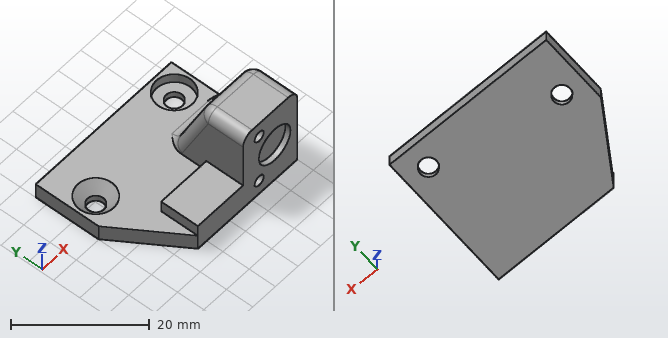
import cadquery as cq
import math

LENGTH = 30.0
WIDTH = 24.0
PLATE_T = 3.0
CORNER_X = 8.0
CORNER_Y = 12.0

STEP_DEPTH = 7.0
STEP_TOP = 5.2

BLOCK_LEFT = 18.0
HEIGHT = 16.0
ROUND_R = 2.0
SLOPE_ANGLE = math.radians(25.0)
FOOT_END_Y = 15.3

NOTCH_END_R = 4.5
NOTCH_SAG = NOTCH_END_R - math.sqrt(NOTCH_END_R**2 - ROUND_R**2)

SCREW_D = 3.1
HEAD_D = 6.78
SINK_X, SINK_Y = 4.0, 16.0
BORE_X, BORE_Y = 26.0, 20.0
BORE_DEPTH = 1.8
SINK_DEPTH = 1.8

RECESS_D = 7.0
RECESS_DEPTH = 1.0
RECESS_X, RECESS_Z = 25.0, 8.0
PILOT_D = 2.0
PILOT_X = 21.57
PILOT_OFFSET_Z = 5.05
PILOT_DEPTH = 6.0
DRILL_TIP_ANGLE = math.radians(59.0)


def make_plate():
    """Plate with its right edge opened where the block's rounding runs below its top."""
    outline = [(CORNER_X, 0), (LENGTH, 0), (LENGTH, WIDTH), (0, WIDTH), (0, CORNER_Y)]
    plate = cq.Workplane("XY").polyline(outline).close().extrude(PLATE_T)
    notch = (
        cq.Workplane("XY")
        .moveTo(LENGTH - ROUND_R, 0)
        .lineTo(LENGTH, 0)
        .lineTo(LENGTH, FOOT_END_Y - NOTCH_SAG)
        .radiusArc((LENGTH - ROUND_R, FOOT_END_Y), -NOTCH_END_R)
        .close()
        .extrude(PLATE_T)
    )
    return plate.cut(notch)


def make_step():
    return cq.Workplane("XY").box(
        BLOCK_LEFT + ROUND_R - CORNER_X, STEP_DEPTH, STEP_TOP, centered=False
    ).translate((CORNER_X, 0, 0))


def make_block():
    """Side profile with a rounded top edge and a foot that runs into the plate."""
    def around(y, z, angle):
        return y + ROUND_R * math.cos(angle), z + ROUND_R * math.sin(angle)

    foot_z = PLATE_T + ROUND_R
    crown_z = HEIGHT - ROUND_R
    crown_y = (FOOT_END_Y - 2 * ROUND_R / math.cos(SLOPE_ANGLE)
               - (crown_z - foot_z) * math.tan(SLOPE_ANGLE))
    foot_tangent = math.pi + SLOPE_ANGLE
    profile = (
        cq.Workplane("YZ", origin=(BLOCK_LEFT, 0, 0))
        .moveTo(0, 0)
        .lineTo(0, HEIGHT)
        .lineTo(crown_y, HEIGHT)
        .threePointArc(around(crown_y, crown_z, (math.pi / 2 + SLOPE_ANGLE) / 2),
                       around(crown_y, crown_z, SLOPE_ANGLE))
        .lineTo(*around(FOOT_END_Y, foot_z, foot_tangent))
        .threePointArc(around(FOOT_END_Y, foot_z, (foot_tangent + 1.5 * math.pi) / 2),
                       (FOOT_END_Y, PLATE_T))
        .lineTo(FOOT_END_Y + ROUND_R, PLATE_T)
        .lineTo(FOOT_END_Y + ROUND_R, 0)
        .close()
    )
    block = profile.extrude(LENGTH - BLOCK_LEFT)
    return block.faces(">Z").edges("|Y").fillet(ROUND_R)


def make_pilot_hole(z):
    radius = PILOT_D / 2
    tip_length = radius / math.tan(DRILL_TIP_ANGLE)
    return (
        cq.Workplane("XY", origin=(PILOT_X, 0, z))
        .polyline([(0, 0), (radius, 0), (radius, PILOT_DEPTH), (0, PILOT_DEPTH + tip_length)])
        .close()
        .revolve(360, (0, 0, 0), (0, 1, 0))
    )


def make_screw_holes():
    """One counterbored and one countersunk hole through the plate."""
    plate_top = cq.Workplane("XY", origin=(0, 0, PLATE_T))
    shafts = (
        plate_top.pushPoints([(BORE_X, BORE_Y), (SINK_X, SINK_Y)])
        .circle(SCREW_D / 2)
        .extrude(-PLATE_T)
    )
    counterbore = plate_top.center(BORE_X, BORE_Y).circle(HEAD_D / 2).extrude(-BORE_DEPTH)
    countersink = cq.Workplane(cq.Solid.makeCone(
        HEAD_D / 2, SCREW_D / 2, SINK_DEPTH,
        cq.Vector(SINK_X, SINK_Y, PLATE_T), cq.Vector(0, 0, -1)))
    return shafts.union(counterbore).union(countersink)


def make_recess():
    return (
        cq.Workplane("XZ", origin=(RECESS_X, 0, RECESS_Z))
        .circle(RECESS_D / 2)
        .extrude(-RECESS_DEPTH)
    )


result = make_plate().union(make_step()).union(make_block())
result = result.cut(make_screw_holes()).cut(make_recess())
for side in (-1, 1):
    result = result.cut(make_pilot_hole(RECESS_Z + side * PILOT_OFFSET_Z))